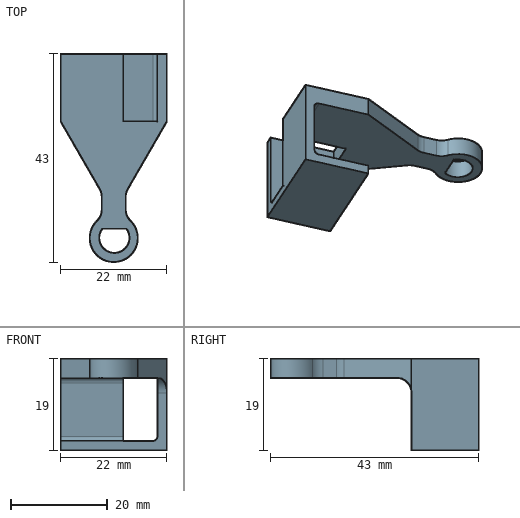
import cadquery as cq
import math

width = 22.0
length = 43.05
height = 19.0

box_depth = 13.95
plate_thickness = 4.0
wall = 2.0
corner_radius = 1.0
web_radius = 3.0

slot_width = 7.0

taper_angle = 30.0
neck_width = 5.05
neck_radius = 3.0
ring_radius = 5.0
bore_radius = 3.1
bore_offset_x = 0.15
bore_offset_y = 0.05
bore_flat = 1.85

half_width = width / 2
half_neck = neck_width / 2
ring_y = ring_radius - length
taper_end_y = -box_depth - (half_width - half_neck) / math.tan(math.radians(taper_angle))
plate_bottom = height - plate_thickness
slot_right = half_width - wall
slot_left = slot_right - slot_width


def make_outline():
    """Full-height prism of the plan shape, with blended neck corners."""
    body = (
        cq.Workplane("XY")
        .moveTo(-half_width, 0)
        .lineTo(half_width, 0)
        .lineTo(half_width, -box_depth)
        .lineTo(half_neck, taper_end_y)
        .lineTo(half_neck, ring_y)
        .lineTo(-half_neck, ring_y)
        .lineTo(-half_neck, taper_end_y)
        .lineTo(-half_width, -box_depth)
        .close()
        .extrude(height)
    )
    ring = cq.Workplane("XY").center(0, ring_y).circle(ring_radius).extrude(height)
    body = body.union(ring)
    ring_joint_y = ring_y + math.sqrt(ring_radius**2 - half_neck**2)
    for x in (-half_neck, half_neck):
        for y in (taper_end_y, ring_joint_y):
            corner = cq.selectors.NearestToPointSelector((x, y, height / 2))
            body = body.edges("|Z").edges(corner).fillet(neck_radius)
    return body


def make_side_profile():
    """Side shape across the full width: deep box, then the plate alone."""
    return (
        cq.Workplane("YZ")
        .moveTo(0, 0)
        .lineTo(0, height)
        .lineTo(-length, height)
        .lineTo(-length, plate_bottom)
        .lineTo(-box_depth - web_radius, plate_bottom)
        .radiusArc((-box_depth, plate_bottom - web_radius), web_radius)
        .lineTo(-box_depth, 0)
        .close()
        .extrude(half_width, both=True)
    )


def make_opening():
    """Cavity under the plate joined to the slot, with one rounding along the side wall."""
    cavity = (
        cq.Workplane("XY")
        .box(width, length, plate_bottom - wall, centered=False)
        .translate((slot_right - width, -wall - length, wall))
    )
    slot = (
        cq.Workplane("XY")
        .box(slot_width, box_depth, height, centered=False)
        .translate((slot_left, -box_depth, wall))
    )
    side_wall_corner = cq.selectors.BoxSelector(
        (slot_right - corner_radius, -2 * length, wall - corner_radius),
        (slot_right + corner_radius, length, wall + corner_radius),
    )
    return (
        cavity.edges("|X and >Y")
        .fillet(corner_radius)
        .union(slot)
        .edges("|Y")
        .edges(side_wall_corner)
        .fillet(corner_radius)
    )


def make_bore():
    """D-shaped bore with its flat towards the bracket."""
    cylinder = cq.Workplane("XY").circle(bore_radius).extrude(height)
    keep = (
        cq.Workplane("XY")
        .box(2 * bore_radius, bore_radius + bore_flat, height, centered=(True, False, False))
        .translate((0, -bore_radius, 0))
    )
    return cylinder.intersect(keep).translate((bore_offset_x, ring_y + bore_offset_y, 0))


result = (
    make_outline()
    .intersect(make_side_profile())
    .cut(make_opening())
    .cut(make_bore())
)